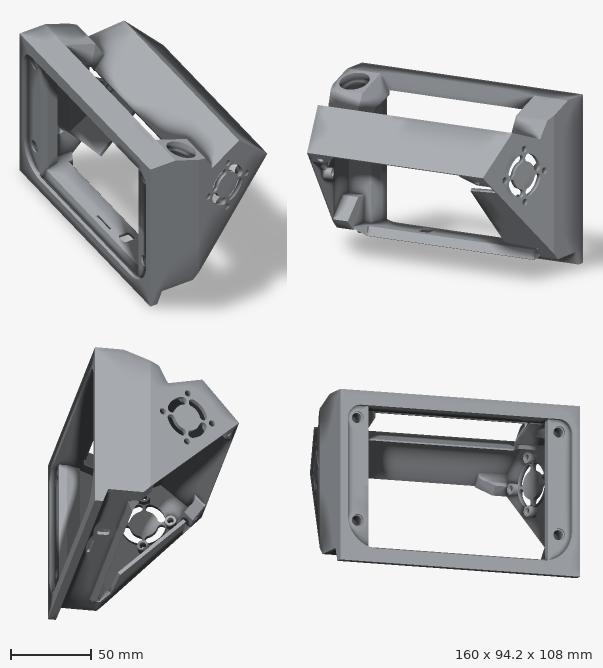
import cadquery as cq
import math

WIDTH = 160.0
HEIGHT = 108.0
MID_X = WIDTH / 2
SHELL = 1.0

FRAME_DEPTH = 18.2
RECESS_SIDE = 5.1
RECESS_BOTTOM = 8.6
RECESS_TOP = 98.9
RECESS_DEPTH = 3.2
RECESS_TOP_RADIUS = 9.0
RECESS_BOTTOM_RADIUS = 20.0
PILLAR_INNER = 20.0
PILLAR_BACK_INNER = 17.1
PILLAR_FLARE = 8.5
PILLAR_BACK = 17.3
GAP_TOP = 98.0
SCREW_SIDE = 12.8
SCREW_LEVELS = (26.2, 91.2)
SCREW_DIAMETER = 6.4
SCREW_MOUTH_DIAMETER = 8.0
SCREW_MOUTH_DEPTH = 1.3
SCREW_DEPTH = 11.2

FLOOR_UNDER = 8.8
FLOOR_TOP = 10.7
FOOT_DEPTH = 5.1
FOOT_BACK = 8.3
GROOVE_FRONT = 2.2
GROOVE_BOTTOM = 5.1
GROOVE_BACK = 7.7
CATCH_START = 23.8
CATCH_TIP = (27.0, 5.1)
CATCH_TIP_TOP = (27.4, 5.5)
CATCH_INSET_LOW = 19.5
CATCH_INSET_HIGH = 10.4
PORT_CENTER = (104.0, 15.8)
PORT_SIZE = 8.0
PORT_CHAMFER = 1.3
SLOT_CENTER = (83.8, 11.4)
SLOT_LENGTH = 16.0
SLOT_WIDTH = 1.6

HOOD_BACK = (94.2, 72.3)
BACK_LINE = HOOD_BACK[0] - HOOD_BACK[1]
RIDGE = (69.8, 97.0)
ROOF_FRONT = 36.6
ROOF_SLOPE = math.radians(19.5)
TAPER_START = 35.2
TAPER_INSET = 16.3
TAPER = math.atan2(TAPER_INSET, HOOD_BACK[0] - TAPER_START)

HUMP_WIDTH = 24.3
HUMP_REACH = 30.0
HUMP_SLOPE = math.radians(20)
HUMP_BACK_SLOPE = math.radians(61)
HUMP_CREST_Y = 40.6
HUMP_TOP_SHRINK = 11.8
HUMP_BACK_SHRINK = 10.5
HUMP_BASE = 80.0
KEY_THICK = 9.6
KEY_SLAB_INSET = 26.7
KEY_CENTER = (147.8, 29.6)
KEY_DIAMETER = 13.1
KEY_BORE_DIAMETER = 19.4
KEY_BORE_DEPTH = 4.8

FAN_CENTER = (59.7, 67.8)
FAN_SCREW_RADIUS = 17.0
FAN_SCREW_DIAMETER = 4.2
VENT_RADIUS = 11.5
VENT_WIDTH = 5.1
VENT_HALF_ANGLE = 28.0
VENT_CUT_DEPTH = 9.6
FAN_PAD_RADIUS = 14.4
FAN_PAD_THICK = 3.0
FAN_POST_DIAMETER = 7.0
FAN_POST_HEIGHT = 6.5

TAB_TIP = 126.0
TAB_FLAT_START = 135.2
TAB_LENGTH = 9.3
TAB_TIP_LENGTH = 1.5
TAB_THICK = 7.5
TAB_ROOT_THICK = 10.0
TAB_CURVE_END = 5.6
TAB_CURVE_MIDDLE = (2.0, 7.7)
TAB_HOLE = (136.8, 5.5)
TAB_HOLE_DIAMETER = 4.2
TAB_HOLE_DEPTH = 6.4
BOSS_INSET = 12.0
BOSS_BACK_Y = 37.6
BOSS_TOP_Y = 24.8
FLAP_INNER = 33.3
FLAP_OUTER = 8.0
FLAP_LEVELS = (17.6, 59.2)
FLAP_TAPER = 0.11
FLAP_THICK = 2.2


def yz_prism(points, x_start=0.0, x_end=WIDTH):
    return cq.Workplane("YZ", origin=(x_start, 0, 0)).polyline(points).close().extrude(x_end - x_start)


def mirrored(shape):
    """The same shape on the other side of the middle plane."""
    return shape.mirror("YZ", (MID_X, 0, 0))


def roof_height(y):
    return RIDGE[1] - (RIDGE[0] - y) * math.tan(ROOF_SLOPE)


def plan_prism(wall):
    """Plan of the housing with its leaning sides moved in by the wall thickness."""
    lean_wall = wall / math.cos(TAPER)
    back_y = HOOD_BACK[0]
    inset = TAPER_INSET + lean_wall
    return (
        cq.Workplane("XY")
        .polyline([
            (wall, 0), (WIDTH - wall, 0), (WIDTH - wall, TAPER_START),
            (WIDTH - inset, back_y), (inset, back_y), (wall, TAPER_START),
        ])
        .close().extrude(HEIGHT)
    )


def hump_section(top_offset, back_offset):
    """Hump outline in y, z with its top and back lines moved inward."""
    top_level = HEIGHT - top_offset / math.cos(HUMP_SLOPE)
    crest_level = HEIGHT - (HUMP_CREST_Y - FRAME_DEPTH) * math.tan(HUMP_SLOPE)
    back_y = HUMP_CREST_Y - back_offset / math.sin(HUMP_BACK_SLOPE)
    top_fall = math.tan(HUMP_SLOPE)
    back_fall = math.tan(HUMP_BACK_SLOPE)
    crest_y = (
        (crest_level + back_fall * back_y - top_level - top_fall * FRAME_DEPTH) / (back_fall - top_fall)
    )
    crest_z = top_level - top_fall * (crest_y - FRAME_DEPTH)
    base_y = back_y + (crest_level - HUMP_BASE) / back_fall
    front_z = top_level + top_fall * (FRAME_DEPTH - PILLAR_BACK)
    return [(PILLAR_BACK, HUMP_BASE), (PILLAR_BACK, front_z), (crest_y, crest_z), (base_y, HUMP_BASE)]


def hump(top_offset, back_offset, flank_offset):
    """Left hump: a prism whose inner flank shrinks the outline."""
    flank_start = HUMP_WIDTH - flank_offset
    wide = hump_section(top_offset, back_offset)
    narrow = hump_section(top_offset + HUMP_TOP_SHRINK, back_offset + HUMP_BACK_SHRINK)
    flank = (
        cq.Workplane("YZ", origin=(flank_start, 0, 0)).polyline(wide).close()
        .workplane(offset=HUMP_REACH - flank_start).polyline(narrow).close()
        .loft(ruled=True)
    )
    return yz_prism(wide, 0, flank_start).union(flank)


def make_outside():
    body = yz_prism([
        (0, 0), (FOOT_DEPTH, 0), (FOOT_BACK, FLOOR_UNDER), (BACK_LINE + FLOOR_UNDER, FLOOR_UNDER),
        HOOD_BACK, RIDGE, (ROOF_FRONT, roof_height(ROOF_FRONT)), (ROOF_FRONT, HUMP_BASE),
        (FRAME_DEPTH, HUMP_BASE), (FRAME_DEPTH, HEIGHT), (0, HEIGHT),
    ])
    left = hump(0, 0, 0)
    return body.union(left).union(mirrored(left)).intersect(plan_prism(0))


def make_cavity():
    back_shift = SHELL * math.sqrt(2)
    roof_drop = SHELL / math.cos(ROOF_SLOPE)
    ridge_y = (RIDGE[0] + RIDGE[1] - back_shift - roof_height(0) + roof_drop) / (1 + math.tan(ROOF_SLOPE))
    ridge_z = RIDGE[0] + RIDGE[1] - back_shift - ridge_y
    rim_y = HOOD_BACK[0] - back_shift / 2
    hood = yz_prism([
        (PILLAR_BACK, FLOOR_TOP), (CATCH_START, FLOOR_TOP), CATCH_TIP_TOP, (rim_y, rim_y - BACK_LINE),
        (ridge_y, ridge_z),
        (ROOF_FRONT, roof_height(ROOF_FRONT) - roof_drop), (PILLAR_BACK, HUMP_BASE),
    ])
    left = hump(SHELL, SHELL, SHELL)
    slab_level = HEIGHT - KEY_THICK / math.cos(HUMP_SLOPE)
    slab_front = slab_level - (PILLAR_BACK - FRAME_DEPTH) * math.tan(HUMP_SLOPE)
    slab_back = slab_level - (HUMP_CREST_Y - FRAME_DEPTH) * math.tan(HUMP_SLOPE)
    slab = yz_prism([
        (PILLAR_BACK, HEIGHT), (PILLAR_BACK, slab_front), (HUMP_CREST_Y, slab_back), (HUMP_CREST_Y, HEIGHT),
    ], WIDTH - KEY_SLAB_INSET, WIDTH)
    right = mirrored(left).cut(slab)
    return hood.union(left).union(right).intersect(plan_prism(SHELL))


def make_opening():
    """Screen recess, the window behind it, the groove behind its lip and the gap between the humps."""
    width = WIDTH - 2 * RECESS_SIDE
    height = RECESS_TOP - RECESS_BOTTOM
    recess = (
        cq.Workplane("XY").box(width, RECESS_DEPTH, height, centered=(True, False, False))
        .translate((MID_X, 0, RECESS_BOTTOM))
    )
    recess = recess.edges("|Y and >Z").fillet(RECESS_TOP_RADIUS)
    recess = recess.edges("|Y and <Z").fillet(RECESS_BOTTOM_RADIUS)
    half_window = [
        (PILLAR_INNER, RECESS_DEPTH), (PILLAR_INNER, PILLAR_FLARE), (PILLAR_BACK_INNER, PILLAR_BACK),
    ]
    other_half = [(WIDTH - x, y) for x, y in reversed(half_window)]
    window = (
        cq.Workplane("XY", origin=(0, 0, FLOOR_TOP)).polyline(half_window + other_half).close()
        .extrude(RECESS_TOP - FLOOR_TOP)
    )
    lip_lean = (FLOOR_TOP - GROOVE_BOTTOM) * (FOOT_BACK - FOOT_DEPTH) / FLOOR_UNDER
    groove = yz_prism(
        [
            (GROOVE_FRONT, FLOOR_TOP), (GROOVE_BACK, FLOOR_TOP),
            (GROOVE_BACK - lip_lean, GROOVE_BOTTOM), (GROOVE_FRONT, GROOVE_BOTTOM),
        ],
        PILLAR_INNER, WIDTH - PILLAR_INNER,
    )
    gap = (
        cq.Workplane("XY").box(
            WIDTH - 2 * HUMP_REACH, FRAME_DEPTH - PILLAR_BACK, GAP_TOP - FLOOR_TOP,
            centered=(True, False, False),
        )
        .translate((MID_X, PILLAR_BACK, FLOOR_TOP))
    )
    return recess.union(window).union(groove).union(gap)


def make_screw_holes():
    spots = [(x, z) for x in (SCREW_SIDE, WIDTH - SCREW_SIDE) for z in SCREW_LEVELS]
    face = cq.Workplane("XZ", origin=(0, RECESS_DEPTH, 0)).pushPoints(spots)
    holes = face.circle(SCREW_DIAMETER / 2).extrude(-SCREW_DEPTH)
    mouths = face.circle(SCREW_MOUTH_DIAMETER / 2).extrude(-SCREW_MOUTH_DEPTH)
    return holes.union(mouths)


def make_floor_holes():
    floor = cq.Workplane("XY", origin=(0, 0, FLOOR_UNDER))
    thickness = FLOOR_TOP - FLOOR_UNDER
    port = floor.center(*PORT_CENTER).rect(PORT_SIZE, PORT_SIZE).extrude(thickness)
    port = port.edges("|Z").chamfer(PORT_CHAMFER)
    slot = floor.center(*SLOT_CENTER).rect(SLOT_LENGTH, SLOT_WIDTH).extrude(thickness)
    return port.union(slot)


def make_key_hole():
    """Stepped hole square to the sloped top of the right hump."""
    x, y = KEY_CENTER
    z = HEIGHT - (y - FRAME_DEPTH) * math.tan(HUMP_SLOPE)
    inward = (0, -math.sin(HUMP_SLOPE), -math.cos(HUMP_SLOPE))
    top = cq.Workplane(cq.Plane((x, y, z), (1, 0, 0), inward))
    bore = top.circle(KEY_BORE_DIAMETER / 2).extrude(KEY_BORE_DEPTH)
    return bore.union(top.circle(KEY_DIAMETER / 2).extrude(2 * KEY_THICK))


def fan_plane():
    """Plane on the left leaning wall, centered on the fan, facing outward."""
    y, z = FAN_CENTER
    x = (y - TAPER_START) * math.tan(TAPER)
    along_wall = (math.sin(TAPER), math.cos(TAPER), 0)
    outward = (-math.cos(TAPER), math.sin(TAPER), 0)
    return cq.Workplane(cq.Plane((x, y, z), along_wall, outward))


FAN_TURN = 45 - math.degrees(math.atan(math.cos(TAPER)))


def make_fan_mount():
    """Left pad behind the vents with a post behind each fan screw."""
    pad = fan_plane().circle(FAN_PAD_RADIUS).extrude(-FAN_PAD_THICK)
    posts = (
        fan_plane().polarArray(FAN_SCREW_RADIUS, FAN_TURN, 360, 4).circle(FAN_POST_DIAMETER / 2)
        .extrude(-FAN_POST_HEIGHT)
    )
    return pad.union(posts)


def make_fan_vents():
    """Left vent slots and fan screw holes, square to the leaning wall."""
    wall = fan_plane()

    def polar(radius, angle):
        turned = math.radians(angle)
        return radius * math.cos(turned), radius * math.sin(turned)

    inner = VENT_RADIUS - VENT_WIDTH / 2
    outer = VENT_RADIUS + VENT_WIDTH / 2
    cutter = wall.polarArray(FAN_SCREW_RADIUS, FAN_TURN, 360, 4).circle(FAN_SCREW_DIAMETER / 2)
    cutter = cutter.extrude(VENT_CUT_DEPTH, both=True)
    for quarter in range(4):
        middle = FAN_TURN + 45 + 90 * quarter
        first = middle - VENT_HALF_ANGLE
        last = middle + VENT_HALF_ANGLE
        band = (
            wall.moveTo(*polar(inner, first))
            .threePointArc(polar(inner, middle), polar(inner, last))
            .lineTo(*polar(outer, last))
            .threePointArc(polar(outer, middle), polar(outer, first))
            .close().extrude(VENT_CUT_DEPTH, both=True)
        )
        ends = wall.pushPoints([polar(VENT_RADIUS, first), polar(VENT_RADIUS, last)])
        cutter = cutter.union(band).union(ends.circle(VENT_WIDTH / 2).extrude(VENT_CUT_DEPTH, both=True))
    return cutter


def make_catch():
    """Thin edge of the floor that bends down to the open back, narrower toward its tip."""
    tip_drop = FLOOR_UNDER - CATCH_TIP[1]
    edge = yz_prism([
        (CATCH_START, FLOOR_TOP), CATCH_TIP_TOP, CATCH_TIP,
        (CATCH_TIP[0] - tip_drop, FLOOR_UNDER),
        (PILLAR_BACK, FLOOR_UNDER), (PILLAR_BACK, FLOOR_TOP),
    ])
    trapezoid = (
        cq.Workplane("XZ")
        .polyline([
            (CATCH_INSET_LOW, CATCH_TIP[1]), (WIDTH - CATCH_INSET_LOW, CATCH_TIP[1]),
            (WIDTH - CATCH_INSET_HIGH, FLOOR_TOP), (CATCH_INSET_HIGH, FLOOR_TOP),
        ])
        .close().extrude(-HOOD_BACK[0])
    )
    corner = yz_prism([
        (CATCH_START, FLOOR_TOP), (CATCH_TIP[0] - tip_drop, FLOOR_UNDER), CATCH_TIP,
        (BACK_LINE + FLOOR_TOP, FLOOR_TOP),
    ], 0, CATCH_INSET_LOW)
    corner = corner.intersect(
        cq.Workplane("XY")
        .polyline([
            (CATCH_INSET_LOW, 0), (CATCH_INSET_LOW, CATCH_TIP[0]),
            (BOSS_INSET, BACK_LINE + FLOOR_UNDER), (BOSS_INSET, 0),
        ])
        .close().extrude(FLOOR_TOP)
    )
    return edge.union(corner).union(mirrored(corner)).intersect(trapezoid)


def make_boss():
    """Left lower lid boss, square to the open back and standing on the floor."""
    back_z = BOSS_BACK_Y - BACK_LINE
    top_z = back_z + BOSS_BACK_Y - BOSS_TOP_Y
    return yz_prism([
        (PILLAR_BACK, FLOOR_UNDER), (BACK_LINE + FLOOR_UNDER, FLOOR_UNDER), (BOSS_BACK_Y, back_z),
        (BOSS_TOP_Y, top_z), (PILLAR_BACK, top_z),
    ], 0, BOSS_INSET)


LID_PLANE = cq.Plane((0,) + HOOD_BACK, (1, 0, 0), (0, -1, 1))


def lid_point(x, along):
    return (x, -along)


def make_tab():
    """Right upper lid tab with a curved root and a screw hole."""
    outline = cq.Workplane(LID_PLANE).polyline([
        lid_point(WIDTH, SHELL / 2), lid_point(TAB_TIP, SHELL / 2),
        lid_point(TAB_TIP, SHELL + TAB_TIP_LENGTH),
        lid_point(TAB_FLAT_START, SHELL + TAB_LENGTH), lid_point(WIDTH, SHELL + TAB_LENGTH),
    ]).close().extrude(TAB_ROOT_THICK)
    middle_along, middle_rise = TAB_CURVE_MIDDLE
    side = cq.Workplane(cq.Plane(LID_PLANE.origin, (0, -1, -1), (-1, 0, 0)))
    profile = (
        side.moveTo(0, 0).lineTo(0, TAB_ROOT_THICK).lineTo(SHELL, TAB_ROOT_THICK)
        .threePointArc((SHELL + middle_along, middle_rise), (SHELL + TAB_CURVE_END, TAB_THICK))
        .lineTo(SHELL + TAB_LENGTH, TAB_THICK).lineTo(SHELL + TAB_LENGTH, 0)
        .close().extrude(-WIDTH)
    )
    hole_x, hole_along = TAB_HOLE
    hole = (
        cq.Workplane(LID_PLANE).center(*lid_point(hole_x, SHELL + hole_along))
        .circle(TAB_HOLE_DIAMETER / 2).extrude(TAB_HOLE_DEPTH)
    )
    return outline.intersect(profile).cut(hole)


def make_flap():
    """Plate on the left wall lying in the open back."""
    spread = (FLAP_INNER - FLAP_OUTER) * FLAP_TAPER
    low, high = ((HOOD_BACK[1] - level) * math.sqrt(2) for level in FLAP_LEVELS)
    return (
        cq.Workplane(LID_PLANE)
        .polyline([
            lid_point(0, low + spread), lid_point(FLAP_OUTER, low + spread), lid_point(FLAP_INNER, low),
            lid_point(FLAP_INNER, high), lid_point(FLAP_OUTER, high - spread), lid_point(0, high - spread),
        ])
        .close().extrude(FLAP_THICK)
    )


boss = make_boss()
tab = make_tab()
fan_mount = make_fan_mount()
inner_parts = make_flap()
for part in (boss, tab, fan_mount):
    inner_parts = inner_parts.union(part).union(mirrored(part))
inner_parts = inner_parts.intersect(plan_prism(0))

result = make_outside().cut(make_cavity()).union(inner_parts).union(make_catch())
result = result.cut(make_opening()).cut(make_screw_holes()).cut(make_floor_holes()).cut(make_key_hole())
vents = make_fan_vents()
result = result.cut(vents).cut(mirrored(vents))